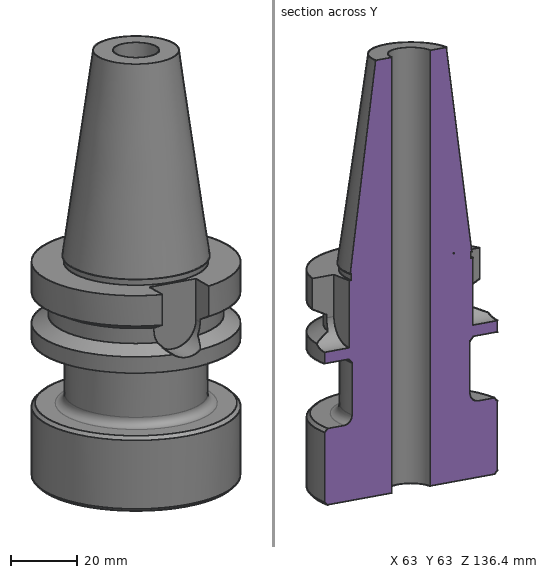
import cadquery as cq
import math

total_height = 136.4
body_radius = 31.5
bore_radius = 7.0

nut_height = 24.0
nut_chamfer = 1.1

neck_radius = 21.5
nut_fillet = 2.9
neck_flare = 1.2

flange_bottom = 44.3
flange_top = 69.0
groove_bottom = 49.5
groove_top = 59.3
groove_floor_radius = 26.5
groove_wall_angle = 26.5

taper_bottom = 70.9
taper_radius = 22.2
collar_radius = 21.8
tip_radius = 13.0

slot_width = 16.0
slot_bottom = 48.0
slot_floor_x = 22.6


def revolved_body():
    """Solid of revolution about Z."""
    wall_height = (body_radius - groove_floor_radius) * math.tan(math.radians(groove_wall_angle))
    profile = (
        cq.Workplane("XZ")
        .lineTo(body_radius - nut_chamfer, 0)
        .lineTo(body_radius, nut_chamfer)
        .lineTo(body_radius, nut_height - nut_chamfer)
        .lineTo(body_radius - nut_chamfer, nut_height)
        .lineTo(neck_radius + nut_fillet, nut_height)
        .radiusArc((neck_radius, nut_height + nut_fillet), nut_fillet)
        .lineTo(neck_radius, flange_bottom - neck_flare)
        .lineTo(neck_radius + neck_flare, flange_bottom)
        .lineTo(body_radius, flange_bottom)
        .lineTo(body_radius, groove_bottom)
        .lineTo(groove_floor_radius, groove_bottom + wall_height)
        .lineTo(groove_floor_radius, groove_top - wall_height)
        .lineTo(body_radius, groove_top)
        .lineTo(body_radius, flange_top)
        .lineTo(collar_radius, flange_top)
        .lineTo(collar_radius, taper_bottom)
        .lineTo(taper_radius, taper_bottom)
        .lineTo(tip_radius, total_height)
        .lineTo(0, total_height)
        .close()
    )
    return profile.revolve(360, (0, 0, 0), (0, 1, 0))


def drive_slot(side):
    """Round-bottomed slot cutter, open at the flange top; side is -1 or +1."""
    half_width = slot_width / 2
    arc_center = slot_bottom + half_width
    return (
        cq.Workplane("YZ", origin=(side * slot_floor_x, 0, 0))
        .moveTo(-half_width, flange_top)
        .lineTo(-half_width, arc_center)
        .threePointArc((0, slot_bottom), (half_width, arc_center))
        .lineTo(half_width, flange_top)
        .close()
        .extrude(side * (body_radius - slot_floor_x))
    )


def bore():
    """Through hole along the axis."""
    return cq.Workplane("XY").circle(bore_radius).extrude(total_height)


result = revolved_body().cut(bore())
for side in (-1, 1):
    result = result.cut(drive_slot(side))